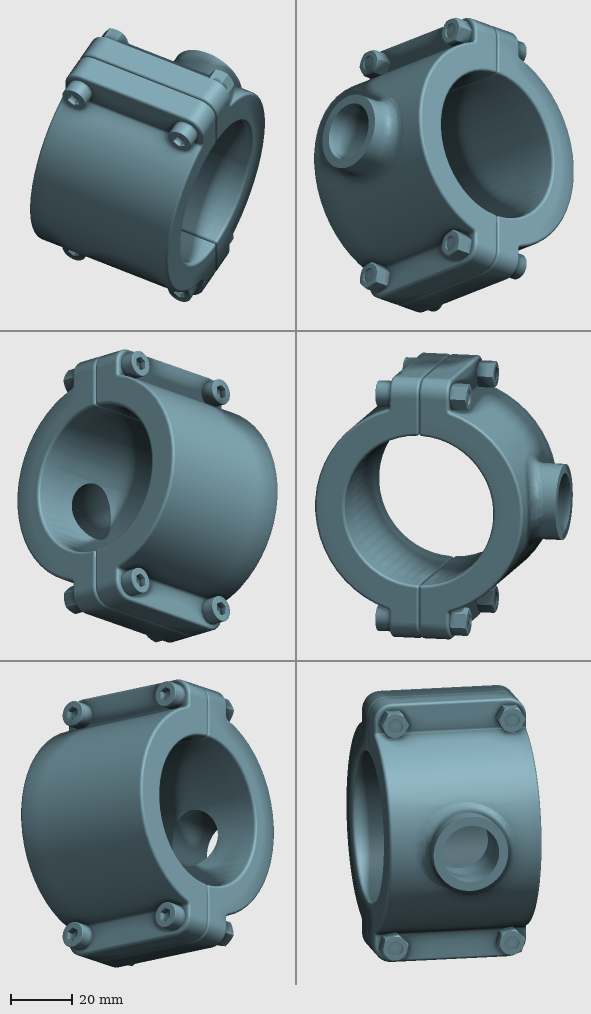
import cadquery as cq
import math

clamp_width = 51.0
clamp_height = 87.1
ring_radius = 35.0
bore_radius = 25.0
flange_thickness = 10.0
flange_corner_radius = 6.0
edge_round = 1.0

nipple_diameter = 25.0
nipple_bore_diameter = 19.0
nipple_end = 43.0
nipple_fillet = 4.0

shank_diameter = 5.0
clearance_diameter = 5.5
head_diameter = 8.5
head_height = 5.0
head_round = 0.3
screw_length = 25.0
socket_width = 4.1
socket_depth = 2.5
socket_turn = 30.0
socket_tip_angle = 120.0

nut_width = 8.0
nut_height = 5.6
nut_chamfer_angle = 30.0
upper_nut_turn = 0.0
lower_nut_turn = 16.0

flange_top = clamp_height / 2
screw_x = clamp_width / 2 - flange_corner_radius
screw_z = flange_top - flange_corner_radius
head_end = -flange_thickness - head_height
nut_end = flange_thickness + nut_height
corner_ratio = 1 / math.cos(math.radians(30))


def cylinder_y(diameter, y_start, y_end):
    """Round bar along the Y axis."""
    bar = cq.Workplane("XZ", origin=(0, y_start, 0)).circle(diameter / 2)
    return bar.extrude(y_start - y_end)


def hexagon_y(width, y_start, y_end):
    """Hexagonal bar along the Y axis with flats facing +Z and -Z."""
    bar = cq.Workplane("XZ", origin=(0, y_start, 0)).polygon(6, width * corner_ratio)
    return bar.extrude(y_start - y_end)


def place_at_fasteners(upper_body, lower_body):
    """One separate copy of a body on each of the four screw axes."""
    copies = []
    for x in (-screw_x, screw_x):
        copies.append(upper_body.translate((x, 0, screw_z)))
        copies.append(lower_body.translate((x, 0, -screw_z)))
    return copies


def make_half_shell():
    """Half ring with a flange at the top and bottom, lying on the +Y side."""
    ring = cq.Workplane("YZ").circle(ring_radius).extrude(clamp_width / 2, both=True)
    positive_side = cq.Workplane("XY").box(
        clamp_width, ring_radius, clamp_height, centered=(True, False, True)
    )
    flange_plate = (
        cq.Workplane("XZ")
        .rect(clamp_width, clamp_height)
        .extrude(-flange_thickness)
        .edges("|Y")
        .fillet(flange_corner_radius)
    )
    bore = cq.Workplane("YZ").circle(bore_radius).extrude(clamp_width / 2, both=True)
    shell = ring.intersect(positive_side).union(flange_plate).cut(bore)

    root_z = math.sqrt(ring_radius**2 - flange_thickness**2)
    for side in (1, -1):
        root = cq.selectors.NearestToPointSelector((0, flange_thickness, side * root_z))
        shell = shell.edges(root).fillet(edge_round)

    return shell.faces("|X or |Y").edges().fillet(edge_round)


def add_nipple(shell):
    """Branch nipple along +Y, blended into the ring and bored through to the main bore."""
    nipple_radius = nipple_diameter / 2
    shell = shell.union(cylinder_y(nipple_diameter, bore_radius, nipple_end))
    junction_y = math.sqrt(ring_radius**2 - nipple_radius**2)
    junction = cq.selectors.NearestToPointSelector((0, junction_y, nipple_radius))
    shell = shell.edges(junction).fillet(nipple_fillet)
    return shell.cut(cylinder_y(nipple_bore_diameter, 0, nipple_end))


def cut_fastener_seats(shell, upper_seat, lower_seat):
    """Clearance holes through the flanges, with seats sunk into the flange roots."""
    hole = cylinder_y(clearance_diameter, -flange_thickness, flange_thickness)
    for cutter in place_at_fasteners(hole.union(upper_seat), hole.union(lower_seat)):
        shell = shell.cut(cutter)
    return shell


def make_screw():
    """Socket head screw on the Y axis, its head seated on the -Y flange."""
    head = cylinder_y(head_diameter, head_end, -flange_thickness).faces("<Y").edges().fillet(head_round)
    shank = cylinder_y(shank_diameter, -flange_thickness, screw_length - flange_thickness)
    socket_floor = head_end + socket_depth
    socket = hexagon_y(socket_width, head_end, socket_floor).rotate((0, 0, 0), (0, 1, 0), socket_turn)
    tip_radius = socket_width / 2
    tip_height = tip_radius / math.tan(math.radians(socket_tip_angle / 2))
    tip = cq.Workplane(
        cq.Solid.makeCone(tip_radius, 0, tip_height, cq.Vector(0, socket_floor, 0), cq.Vector(0, 1, 0))
    )
    return head.union(shank).cut(socket).cut(tip)


def make_nut(turn):
    """Hexagon nut on the Y axis, seated on the +Y flange, with both ends chamfered."""
    blank = hexagon_y(nut_width, flange_thickness, nut_end).rotate((0, 0, 0), (0, 1, 0), turn)
    corner_diameter = nut_width * corner_ratio
    chamfer_reach = (corner_diameter - nut_width) / 2
    chamfer_height = chamfer_reach * math.tan(math.radians(nut_chamfer_angle))
    envelope = (
        cylinder_y(corner_diameter, flange_thickness, nut_end)
        .faces("|Y")
        .chamfer(chamfer_height, chamfer_reach)
    )
    return blank.intersect(envelope).cut(cylinder_y(shank_diameter, flange_thickness, nut_end))


half_shell = make_half_shell()
head_seat = cylinder_y(head_diameter, head_end, -flange_thickness)
nut_seat = hexagon_y(nut_width, flange_thickness, nut_end)
upper_nut_seat = nut_seat.rotate((0, 0, 0), (0, 1, 0), upper_nut_turn)
lower_nut_seat = nut_seat.rotate((0, 0, 0), (0, 1, 0), lower_nut_turn)

cap_half = cut_fastener_seats(half_shell.mirror("XZ"), head_seat, head_seat)
nipple_half = cut_fastener_seats(add_nipple(half_shell), upper_nut_seat, lower_nut_seat)

screw = make_screw()
screws = place_at_fasteners(screw, screw)
nuts = place_at_fasteners(make_nut(upper_nut_turn), make_nut(lower_nut_turn))

result = cq.Compound.makeCompound(
    [
        cap_half.val(),
        nipple_half.val(),
        *[body.val() for body in screws],
        *[body.val() for body in nuts],
    ]
)